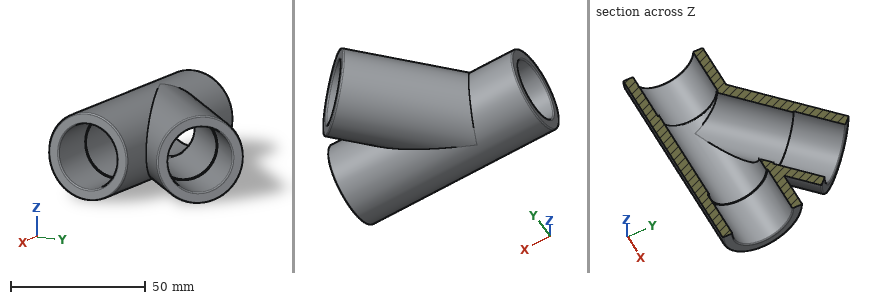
import cadquery as cq
import math

run_length = 81.0
outer_diameter = 33.5
bore_diameter = 24.0
socket_diameter = 25.0
socket_depth = 20.25
rim_radius = 0.5

branch_angle = 45.0
branch_length = 55.0
crossing_from_left = 25.9

branch_radians = math.radians(branch_angle)
branch_direction = cq.Vector(math.cos(branch_radians), math.sin(branch_radians), 0)
run_direction = cq.Vector(1, 0, 0)
crossing = cq.Vector(0, 0, 0)
left_end = crossing - run_direction * crossing_from_left
right_end = left_end + run_direction * run_length
branch_end = crossing + branch_direction * branch_length


def cylinder(start, direction, length, diameter):
    """Solid cylinder running from start along direction."""
    return cq.Workplane(cq.Solid.makeCylinder(diameter / 2, length, start, direction))


def y_shape(diameter):
    """Run and branch cylinders of one diameter, joined."""
    run = cylinder(left_end, run_direction, run_length, diameter)
    branch = cylinder(crossing, branch_direction, branch_length, diameter)
    return run.union(branch)


result = y_shape(outer_diameter).cut(y_shape(bore_diameter))

open_ends = [
    (left_end, -run_direction),
    (right_end, run_direction),
    (branch_end, branch_direction),
]
for end, outward in open_ends:
    result = result.cut(cylinder(end, -outward, socket_depth, socket_diameter))
    end_face = cq.selectors.DirectionMinMaxSelector(outward)
    result = result.faces(end_face).edges().fillet(rim_radius)